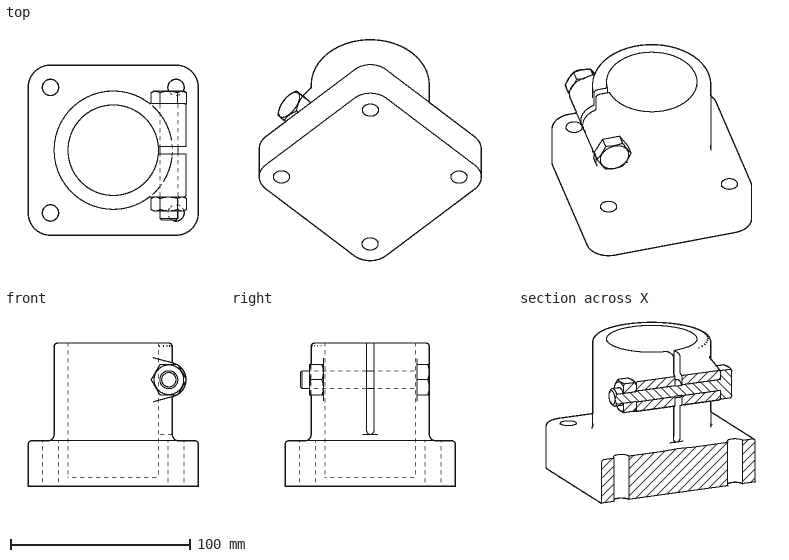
import cadquery as cq
import math

base_side = 95.0
base_height = 25.5
base_corner_radius = 12.5
mount_hole_offset = base_side / 2 - base_corner_radius
mount_hole_diameter = 9.0

total_height = 80.0
sleeve_diameter = 66.0
bore_diameter = 50.5
bore_floor = 5.0
edge_fillet = 2.0
foot_fillet = 3.5
foot_top = base_height + foot_fillet

bolt_x = 31.0
bolt_z = 59.5
lug_width = 52.0
lug_radius = 9.6
lug_taper = 15.0
lug_inner_x = 10.0
lug_fillet = 1.0
lug_root_fillet = 1.0
slit_width = 4.0
slit_floor = foot_top

thread_diameter = 10.0
bolt_length = 65.0
bolt_tip_chamfer = 1.0
hex_sides = 6
hex_flats = 17.0
hex_face_diameter = 16.5
hex_chamfer_angle = 30.0
head_height = 7.0
nut_height = 8.0

lug_face_y = lug_width / 2

position_tolerance = 0.001


def cylinder_along_y(diameter, y_start, y_end):
    """Cylinder on the bolt axis between two Y positions."""
    start_plane = cq.Plane(origin=(bolt_x, y_start, bolt_z), xDir=(1, 0, 0), normal=(0, 1, 0))
    return cq.Workplane(start_plane).circle(diameter / 2).extrude(y_end - y_start)


def make_base():
    """Square base with rounded corners and a rounded top edge."""
    return (
        cq.Workplane("XY")
        .rect(base_side, base_side)
        .extrude(base_height)
        .edges("|Z")
        .fillet(base_corner_radius)
        .faces(">Z")
        .edges()
        .fillet(edge_fillet)
    )


def make_sleeve():
    """Solid sleeve with a rounded top edge and a concave foot, revolved from its -X profile."""
    radius = sleeve_diameter / 2
    return (
        cq.Workplane("XZ")
        .moveTo(0, base_height)
        .lineTo(-radius - foot_fillet, base_height)
        .radiusArc((-radius, foot_top), -foot_fillet)
        .lineTo(-radius, total_height - edge_fillet)
        .radiusArc((-radius + edge_fillet, total_height), edge_fillet)
        .lineTo(0, total_height)
        .close()
        .revolve(360, (0, 0), (0, 1))
    )


def make_lug_block():
    """Tapered block with a rounded nose around the bolt axis, spanning both lugs."""
    taper = math.radians(lug_taper)
    tangent_x = lug_radius * math.sin(taper)
    tangent_z = lug_radius * math.cos(taper)
    root_x = lug_inner_x - bolt_x
    root_z = tangent_z + (tangent_x - root_x) * math.tan(taper)
    start_plane = cq.Plane(origin=(bolt_x, -lug_face_y, bolt_z), xDir=(1, 0, 0), normal=(0, -1, 0))
    return (
        cq.Workplane(start_plane)
        .moveTo(root_x, -root_z)
        .lineTo(tangent_x, -tangent_z)
        .threePointArc((lug_radius, 0), (tangent_x, tangent_z))
        .lineTo(root_x, root_z)
        .close()
        .extrude(-lug_width)
        .faces("<Y or >Y")
        .edges()
        .fillet(lug_fillet)
    )


def make_slit():
    """Slit through the +X side of the sleeve, open at the top and round at the bottom."""
    round_z = slit_floor + slit_width / 2
    return (
        cq.Workplane("YZ")
        .moveTo(-slit_width / 2, total_height)
        .lineTo(-slit_width / 2, round_z)
        .threePointArc((0, slit_floor), (slit_width / 2, round_z))
        .lineTo(slit_width / 2, total_height)
        .close()
        .extrude(base_side / 2)
    )


def lies_on_sleeve(edge):
    """True if the start, middle and end of an edge all lie on the sleeve's outer cylinder."""
    points = [edge.positionAt(t) for t in (0, 0.5, 1)]
    return all(abs(math.hypot(p.x, p.y) - sleeve_diameter / 2) < position_tolerance for p in points)


def make_flange_with_lugs():
    """Base, sleeve and lug block in one piece, with a fillet where the lugs meet the sleeve."""
    joined = make_base().union(make_sleeve()).union(make_lug_block())
    lug_zone = cq.selectors.BoxSelector(
        (lug_inner_x, -lug_width, foot_top), (base_side, lug_width, total_height)
    )
    root_edges = [edge for edge in joined.edges(lug_zone).vals() if lies_on_sleeve(edge)]
    return joined.newObject(root_edges).fillet(lug_root_fillet)


def make_housing():
    """Flanged sleeve, bored from the top and slit through the clamping lugs."""
    bore = (
        cq.Workplane("XY")
        .workplane(offset=bore_floor)
        .circle(bore_diameter / 2)
        .extrude(total_height - bore_floor)
    )
    mount_holes = (
        cq.Workplane("XY")
        .rect(2 * mount_hole_offset, 2 * mount_hole_offset, forConstruction=True)
        .vertices()
        .circle(mount_hole_diameter / 2)
        .extrude(base_height)
    )
    bolt_hole = cylinder_along_y(thread_diameter, -lug_width, lug_width)
    return make_flange_with_lugs().cut(bore).cut(make_slit()).cut(mount_holes).cut(bolt_hole)


def hex_prism(y_start, height, chamfer_start):
    """Hexagon on the bolt axis with corners along X, chamfered at its +Y end and, if asked, at its start."""
    corner_radius = hex_flats / 2 / math.cos(math.pi / hex_sides)
    face_radius = hex_face_diameter / 2
    chamfer = (corner_radius - face_radius) * math.tan(math.radians(hex_chamfer_angle))
    start_plane = cq.Plane(origin=(bolt_x, y_start, bolt_z), xDir=(1, 0, 0), normal=(0, 1, 0))
    prism = cq.Workplane(start_plane).polygon(hex_sides, 2 * corner_radius).extrude(height)
    envelope = (
        cq.Workplane("XY")
        .polyline([
            (0, 0),
            (face_radius if chamfer_start else corner_radius, 0),
            (corner_radius, chamfer),
            (corner_radius, height - chamfer),
            (face_radius, height),
            (0, height),
        ])
        .close()
        .revolve(360, (0, 0), (0, 1))
        .translate((bolt_x, y_start, bolt_z))
    )
    return prism.intersect(envelope)


def make_bolt():
    """Hexagon bolt with its head on the +Y lug and its tip beyond the -Y lug."""
    shank = (
        cylinder_along_y(thread_diameter, lug_face_y - bolt_length, lug_face_y)
        .faces("<Y")
        .chamfer(bolt_tip_chamfer)
    )
    return shank.union(hex_prism(lug_face_y, head_height, chamfer_start=False))


def make_nut():
    """Hexagon nut seated on the -Y lug."""
    nut_start = -lug_face_y - nut_height
    thread_hole = cylinder_along_y(thread_diameter, nut_start, -lug_face_y)
    return hex_prism(nut_start, nut_height, chamfer_start=True).cut(thread_hole)


housing = make_housing()
bolt = make_bolt()
nut = make_nut()

result = cq.Compound.makeCompound([housing.val(), bolt.val(), nut.val()])